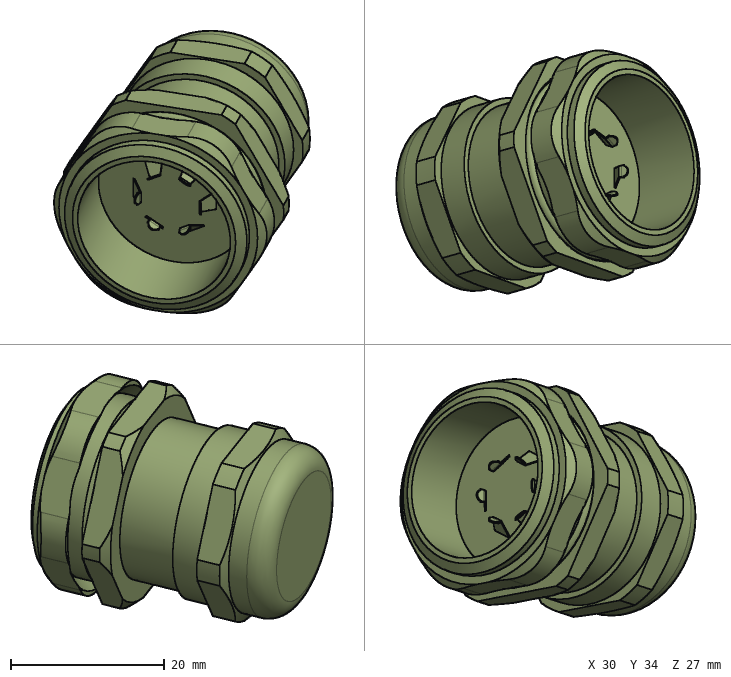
import cadquery as cq
import math

LENGTH = 34.0

THREAD_RADIUS = 24.85 / 2
MOUTH_RADIUS = 22.25 / 2
MOUTH_CHAMFER_LENGTH = 0.78
BORE_RADIUS = 20.8 / 2
BORE_DEPTH = 9.52
NECK_RADIUS = 21.85 / 2

THREAD_END = 7.85
GROOVE_TAPER_LENGTH = 0.65
GROOVE_RADIUS = 11.42
SEAL_SECTION_RADIUS = 0.8
SEAL_POSITION = 9.25
SEAL_SEAT_RADIUS = 12.68
SEAL_SEAT_DEPTH = 0.4

BODY_HEX_START = 8.98
BODY_HEX_END = 12.58
BODY_HEX_FLATS = 27.0
BODY_HEX_CORNER_RADIUS = 30.0 / 2
BODY_HEX_CHAMFER = 1.1

NUT_START = 1.95
NUT_END = 6.43
NUT_FLATS = 27.0
NUT_CORNER_FILLET = 7.0
NUT_CHAMFER_RADIUS = 13.53
NUT_RECESS_RADIUS = 13.85

CAP_RADIUS = 23.5 / 2
CAP_START = 20.5
DOME_RADIUS = 2.95
CAP_HEX_START = 24.5
CAP_HEX_END = 28.5
CAP_HEX_FLATS = 24.0
CAP_HEX_CORNER_RADIUS = 13.02
CAP_HEX_CHAMFER_ANGLE = 30.0

FINGER_COUNT = 6
FINGER_BASE_OUTER = 5.68
FINGER_BASE_INNER = 5.45
FINGER_BASE_WIDTH = 2.8
FINGER_KNEE_INNER = 3.95
FINGER_KNEE_OUTER = 4.15
FINGER_KNEE_HEIGHT = 2.1
FINGER_KNEE_WIDTH = 1.5
FINGER_BEND_RADIUS = 4.08
FINGER_BEND_HEIGHT = 2.45
FINGER_TIP_INNER = 4.42
FINGER_TIP_OUTER = 4.6
FINGER_TIP_HEIGHT = 3.2
FINGER_SHOULDER_HEIGHT = 2.7
FINGER_ROOT_OVERLAP = 0.35


def turned(profile):
    """Revolve a closed (radius, y) outline about the Y axis."""
    return cq.Workplane("XY").polyline(profile).close().revolve(360, (0, 0, 0), (0, 1, 0))


def hexagon(flats, start, end):
    """Hexagonal bar along Y with corners on the X axis."""
    across_corners = flats / math.cos(math.pi / 6)
    bar = cq.Workplane("XZ", origin=(0, start, 0)).polygon(6, across_corners)
    return bar.extrude(start - end)


def make_shell():
    """Body of revolution from the chamfered mouth to the domed cap, without the bore."""
    groove_start = THREAD_END + GROOVE_TAPER_LENGTH
    outline = (
        cq.Workplane("XY")
        .moveTo(0, 0)
        .lineTo(MOUTH_RADIUS, 0)
        .lineTo(THREAD_RADIUS, MOUTH_CHAMFER_LENGTH)
        .lineTo(THREAD_RADIUS, THREAD_END)
        .lineTo(GROOVE_RADIUS, groove_start)
        .lineTo(GROOVE_RADIUS, BODY_HEX_END)
        .lineTo(NECK_RADIUS, BODY_HEX_END)
        .lineTo(NECK_RADIUS, CAP_START)
        .lineTo(CAP_RADIUS, CAP_START)
        .lineTo(CAP_RADIUS, LENGTH - DOME_RADIUS)
        .radiusArc((CAP_RADIUS - DOME_RADIUS, LENGTH), -DOME_RADIUS)
        .lineTo(0, LENGTH)
        .close()
    )
    return outline.revolve(360, (0, 0, 0), (0, 1, 0))


def make_seal():
    """Sealing ring in the groove, partly sunk into its seat in the body hexagon."""
    ring_radius = THREAD_RADIUS - SEAL_SECTION_RADIUS
    section = cq.Workplane("XY").center(ring_radius, SEAL_POSITION).circle(SEAL_SECTION_RADIUS)
    return section.revolve(360, (-ring_radius, 0, 0), (-ring_radius, 1, 0))


def make_body_hex():
    """Body hexagon with rounded corners, a seat for the seal, and a chamfer facing the cap."""
    envelope = turned([
        (0, BODY_HEX_START + SEAL_SEAT_DEPTH),
        (SEAL_SEAT_RADIUS, BODY_HEX_START + SEAL_SEAT_DEPTH),
        (SEAL_SEAT_RADIUS, BODY_HEX_START),
        (BODY_HEX_CORNER_RADIUS, BODY_HEX_START),
        (BODY_HEX_CORNER_RADIUS, BODY_HEX_END - BODY_HEX_CHAMFER),
        (BODY_HEX_CORNER_RADIUS - BODY_HEX_CHAMFER, BODY_HEX_END),
        (0, BODY_HEX_END),
    ])
    return hexagon(BODY_HEX_FLATS, BODY_HEX_START, BODY_HEX_END).intersect(envelope)


def make_nut():
    """Locknut with rounded corners, a 45 degree front chamfer and a conical recess behind."""
    nut_length = NUT_END - NUT_START
    recess_depth = NUT_RECESS_RADIUS - THREAD_RADIUS
    envelope = turned([
        (0, NUT_START),
        (NUT_CHAMFER_RADIUS, NUT_START),
        (NUT_CHAMFER_RADIUS + nut_length, NUT_END),
        (NUT_RECESS_RADIUS, NUT_END),
        (THREAD_RADIUS, NUT_END - recess_depth),
        (0, NUT_END - recess_depth),
    ])
    blank = hexagon(NUT_FLATS, NUT_START, NUT_END).edges("|Y").fillet(NUT_CORNER_FILLET)
    return blank.intersect(envelope)


def make_cap_hex():
    """Cap hexagon with rounded corners, chamfered towards the dome."""
    chamfer_width = CAP_HEX_CORNER_RADIUS - CAP_RADIUS
    chamfer_length = chamfer_width * math.tan(math.radians(CAP_HEX_CHAMFER_ANGLE))
    envelope = turned([
        (0, CAP_HEX_START),
        (CAP_HEX_CORNER_RADIUS, CAP_HEX_START),
        (CAP_HEX_CORNER_RADIUS, CAP_HEX_END - chamfer_length),
        (CAP_RADIUS, CAP_HEX_END),
        (0, CAP_HEX_END),
    ])
    return hexagon(CAP_HEX_FLATS, CAP_HEX_START, CAP_HEX_END).intersect(envelope)


def make_finger():
    """Hooked finger on the +X side, leaning towards the axis and narrowing to a rounded tip."""
    root = BORE_DEPTH + FINGER_ROOT_OVERLAP
    knee = BORE_DEPTH - FINGER_KNEE_HEIGHT
    bend = BORE_DEPTH - FINGER_BEND_HEIGHT
    shoulder = BORE_DEPTH - FINGER_SHOULDER_HEIGHT
    tip = BORE_DEPTH - FINGER_TIP_HEIGHT
    half_base = FINGER_BASE_WIDTH / 2
    half_knee = FINGER_KNEE_WIDTH / 2

    hook = (
        cq.Workplane("XY")
        .polyline([
            (FINGER_BASE_OUTER, root),
            (FINGER_BASE_OUTER, BORE_DEPTH),
            (FINGER_KNEE_OUTER, knee),
            (FINGER_TIP_OUTER, tip),
            (FINGER_TIP_INNER, tip),
            (FINGER_BEND_RADIUS, bend),
            (FINGER_KNEE_INNER, knee),
            (FINGER_BASE_INNER, BORE_DEPTH),
            (FINGER_BASE_INNER, root),
        ])
        .close()
        .extrude(half_base, both=True)
    )
    taper = (
        cq.Workplane("XZ")
        .polyline([
            (FINGER_BASE_OUTER, -half_base),
            (FINGER_BASE_OUTER, half_base),
            (FINGER_KNEE_INNER, half_knee),
            (FINGER_KNEE_INNER, -half_knee),
        ])
        .close()
        .extrude(-root)
    )
    rounded_end = (
        cq.Workplane("YZ")
        .moveTo(root, -half_base)
        .lineTo(shoulder, -half_base)
        .lineTo(shoulder, -half_knee)
        .threePointArc((tip, 0), (shoulder, half_knee))
        .lineTo(shoulder, half_base)
        .lineTo(root, half_base)
        .close()
        .extrude(FINGER_BASE_OUTER)
    )
    return hook.intersect(taper).intersect(rounded_end)


result = make_shell()
for ring in (make_seal(), make_body_hex(), make_nut(), make_cap_hex()):
    result = result.union(ring)

result = result.cut(cq.Workplane("XZ").circle(BORE_RADIUS).extrude(-BORE_DEPTH))

finger = make_finger()
for index in range(FINGER_COUNT):
    result = result.union(finger.rotate((0, 0, 0), (0, 1, 0), index * 360 / FINGER_COUNT))